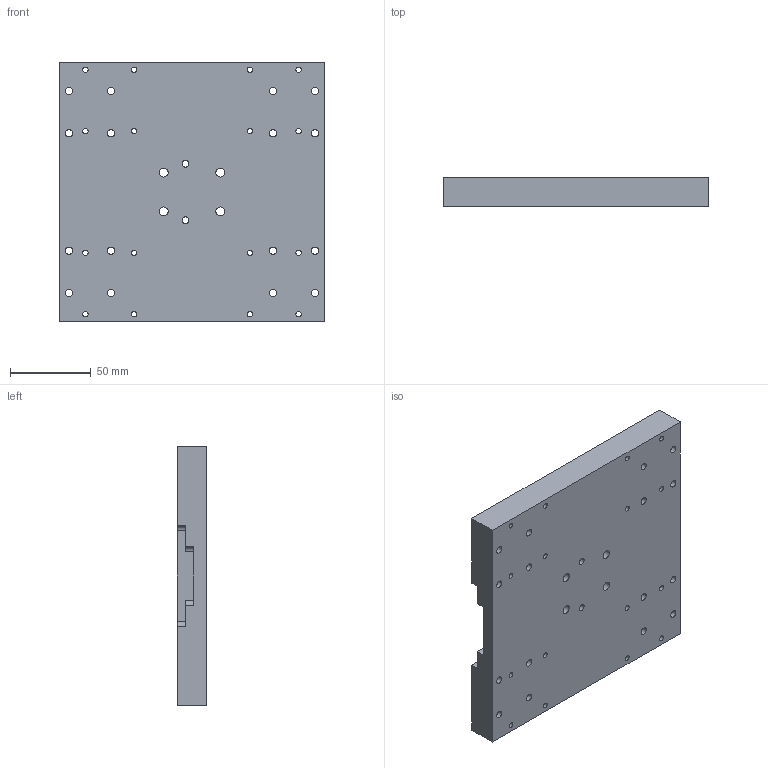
import cadquery as cq

PLATE_LENGTH = 164.0
PLATE_THICKNESS = 18.0
PLATE_HEIGHT = 160.0
BACK_Y = PLATE_THICKNESS / 2

POCKET_STEP_DEPTH = 5.0
OUTER_POCKET_WIDTH = 62.0
INNER_POCKET_WIDTH = 36.0
POCKET_CORNER_RADIUS = 3.0
POCKET_END_X = 30.0
POCKET_LENGTH = PLATE_LENGTH / 2 + POCKET_END_X

CARRIAGE_HOLE_DIAMETER = 4.5
CARRIAGE_HOLE_PITCH = 26.0
CARRIAGE_CENTRE_X = 63.0
CARRIAGE_CENTRE_Z = 49.25

SMALL_HOLE_DIAMETER = 3.3
SMALL_HOLE_PITCH_X = 30.0
SMALL_HOLE_PITCH_Z = 38.0
SMALL_CENTRE_X = 50.75
SMALL_CENTRE_Z = 56.5

CENTRAL_HOLE_DIAMETER = 5.5
CENTRAL_PITCH_X = 35.0
CENTRAL_PITCH_Z = 24.0
PAIR_HOLE_DIAMETER = 4.2
PAIR_HOLE_X = -4.0
PAIR_PITCH_Z = 35.0


def rectangle_corners(centre_x, centre_z, pitch_x, pitch_z):
    """Return the four (x, z) corners of a rectangular hole group."""
    return [
        (centre_x + side_x * pitch_x / 2, centre_z + side_z * pitch_z / 2)
        for side_x in (-1, 1)
        for side_z in (-1, 1)
    ]


def corner_groups(centre_x, centre_z, pitch_x, pitch_z):
    """Repeat a rectangular hole group in all four quadrants of the plate."""
    points = []
    for side_x in (-1, 1):
        for side_z in (-1, 1):
            points += rectangle_corners(side_x * centre_x, side_z * centre_z, pitch_x, pitch_z)
    return points


def through_holes(points, diameter):
    """Cylinders along Y that pass through the whole plate."""
    return (
        cq.Workplane("XZ", origin=(0, BACK_Y, 0))
        .pushPoints(points)
        .circle(diameter / 2)
        .extrude(PLATE_THICKNESS)
    )


def pocket(width, depth):
    """Pocket cutter from the back face, open at -X, with rounded corners at its closed end."""
    return (
        cq.Workplane("XZ", origin=(POCKET_END_X - POCKET_LENGTH / 2, BACK_Y, 0))
        .rect(POCKET_LENGTH, width)
        .extrude(depth)
        .edges("|Y and >X")
        .fillet(POCKET_CORNER_RADIUS)
    )


plate = cq.Workplane("XY").box(PLATE_LENGTH, PLATE_THICKNESS, PLATE_HEIGHT)

plate = plate.cut(pocket(OUTER_POCKET_WIDTH, POCKET_STEP_DEPTH))
plate = plate.cut(pocket(INNER_POCKET_WIDTH, 2 * POCKET_STEP_DEPTH))

carriage_points = corner_groups(
    CARRIAGE_CENTRE_X, CARRIAGE_CENTRE_Z, CARRIAGE_HOLE_PITCH, CARRIAGE_HOLE_PITCH
)
small_points = corner_groups(SMALL_CENTRE_X, SMALL_CENTRE_Z, SMALL_HOLE_PITCH_X, SMALL_HOLE_PITCH_Z)
central_points = rectangle_corners(0, 0, CENTRAL_PITCH_X, CENTRAL_PITCH_Z)
pair_points = [(PAIR_HOLE_X, side * PAIR_PITCH_Z / 2) for side in (-1, 1)]

plate = plate.cut(through_holes(carriage_points, CARRIAGE_HOLE_DIAMETER))
plate = plate.cut(through_holes(small_points, SMALL_HOLE_DIAMETER))
plate = plate.cut(through_holes(central_points, CENTRAL_HOLE_DIAMETER))
plate = plate.cut(through_holes(pair_points, PAIR_HOLE_DIAMETER))

result = plate